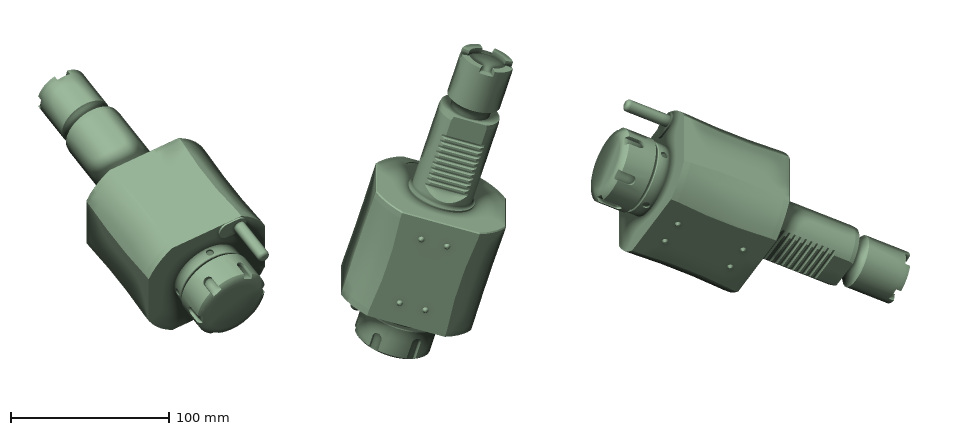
import cadquery as cq
import math


drive_radius = 17.5
drive_length = 30.0
drive_recess_radius = 12.5
drive_slot_depth = 3.5
drive_recess_depth = 3.9
drive_slot_half_angle = 15.5
drive_slot_count = 4
neck_radius = 13.0
neck_middle_x = 33.0
neck_middle_radius = 14.1

shank_radius = 20.0
shank_start = 38.0
shank_lead_length = 3.0
shank_lead_depth = 0.5
shank_collar_radius = 22.0
shank_collar_length = 1.2

rack_flat_z = -16.3
rack_tooth_depth = 2.0
rack_pitch = 4.0
rack_notch_count = 10
rack_first_notch = 53.3
rack_notch_root_width = 1.4
rack_notch_mouth_width = 2.6
rack_ramp_end = 95.9

body_start = 100.6
body_length = 76.4
body_width = 86.0
body_height = 80.0
body_corner_radius = 47.5
body_waist_radius = 46.5
body_land_length = 4.5
body_chamfer = 0.7

plug_radius = 7.5
plug_depth = 0.6
plug_y = 16.0
plug_z = 28.0

screw_base_radius = 2.0
screw_tip_radius = 0.75
screw_height = 1.6
screw_rear_offset = 15.0
screw_spacing_x = 47.0
screw_spacing_y = 17.0

overall_length = 209.6
collar_radius = 24.0
collar_length = 8.2
collar_chamfer = 0.4
collar_hole_radius = 2.5
collar_hole_depth = 1.5
collar_hole_count = 4
collar_hole_x = 180.9
nut_gap = 1.7
nut_gap_radius = 20.7
nut_radius = 25.0
nut_chamfer = 0.5
nut_nose_length = 3.0
nut_face_radius = 18.3
nut_bulge_setback = 1.2
nut_bulge_radius = 22.7
nut_slot_width = 6.7
nut_slot_floor_radius = 22.2
nut_slot_length = 13.8
nut_long_slot_length = 17.5
nut_long_slot_angle = 240.0
nut_slot_count = 6

pin_radius = 4.0
pin_end = 209.0
pin_tip_round = 2.4
pin_y = 23.5
pin_z = 32.4
pin_base_length = 20.0
pin_base_height = 12.6
pin_base_thickness = 1.2
pin_base_y = 18.7
pin_base_z = 33.5

body_end = body_start + body_length
overlap = 1.0


def cylinder_x(start, length, radius, y=0.0, z=0.0):
    """Cylinder running along +X."""
    return cq.Workplane("YZ", origin=(start, y, z)).circle(radius).extrude(length)


def revolve_about_x(profile):
    """Revolve a closed XY profile about the spindle axis."""
    return profile.close().revolve(360, (0, 0, 0), (1, 0, 0))


def make_drive_end():
    """Cylindrical drive end and the hollow-curved neck that joins it to the shank."""
    profile = (
        cq.Workplane("XY")
        .moveTo(0, 0)
        .lineTo(0, drive_radius)
        .lineTo(drive_length, drive_radius)
        .threePointArc((neck_middle_x, neck_middle_radius), (shank_start, neck_radius))
        .lineTo(shank_start + overlap, neck_radius)
        .lineTo(shank_start + overlap, 0)
    )
    drive = revolve_about_x(profile)
    drive = drive.cut(cylinder_x(0, drive_recess_depth, drive_recess_radius))

    wedge_reach = 2 * drive_radius
    wedge_half_width = wedge_reach * math.tan(math.radians(drive_slot_half_angle))
    wedge = (
        cq.Workplane("YZ")
        .polyline([(0, 0), (wedge_reach, -wedge_half_width), (wedge_reach, wedge_half_width)])
        .close()
        .extrude(drive_slot_depth)
    )
    for i in range(drive_slot_count):
        drive = drive.cut(wedge.rotate((0, 0, 0), (1, 0, 0), i * 360 / drive_slot_count))
    return drive


def make_shank():
    """Shank with a slender lead-in cone and a filleted collar at the housing."""
    lead_radius = shank_radius - shank_lead_depth
    collar_start = body_start - shank_collar_length
    fillet_radius = shank_collar_radius - shank_radius
    fillet_middle = (
        collar_start - fillet_radius * (1 - math.sin(math.pi / 4)),
        shank_collar_radius - fillet_radius * math.sin(math.pi / 4),
    )
    profile = (
        cq.Workplane("XY")
        .moveTo(shank_start, 0)
        .lineTo(shank_start, lead_radius)
        .lineTo(shank_start + shank_lead_length, shank_radius)
        .lineTo(collar_start - fillet_radius, shank_radius)
        .threePointArc(fillet_middle, (collar_start, shank_collar_radius))
        .lineTo(body_start + overlap, shank_collar_radius)
        .lineTo(body_start + overlap, 0)
    )
    return revolve_about_x(profile)


def make_rack_cut():
    """Material removed below the shank: the flat, its end ramp and the tooth notches."""
    root_z = rack_flat_z + rack_tooth_depth
    last_notch = rack_first_notch + (rack_notch_count - 1) * rack_pitch
    bottom_z = -shank_radius
    cut_width = 2 * shank_radius
    flat = (
        cq.Workplane("XZ")
        .polyline([
            (shank_start, bottom_z),
            (shank_start, rack_flat_z),
            (last_notch, rack_flat_z),
            (last_notch, root_z),
            (last_notch + rack_notch_root_width / 2, root_z),
            (rack_ramp_end, bottom_z),
        ])
        .close()
        .extrude(cut_width / 2, both=True)
    )
    for i in range(rack_notch_count):
        x = rack_first_notch + i * rack_pitch
        notch = (
            cq.Workplane("XZ")
            .polyline([
                (x - rack_notch_mouth_width / 2, rack_flat_z),
                (x - rack_notch_root_width / 2, root_z),
                (x + rack_notch_root_width / 2, root_z),
                (x + rack_notch_mouth_width / 2, rack_flat_z),
            ])
            .close()
            .extrude(cut_width / 2, both=True)
        )
        flat = flat.union(notch)
    return flat


def make_body():
    """Rectangular housing whose corners are turned to a slightly waisted round."""
    block = (
        cq.Workplane("YZ", origin=(body_start, 0, 0))
        .rect(body_width, body_height)
        .extrude(body_length)
        .faces("<X")
        .chamfer(body_chamfer)
    )
    profile = (
        cq.Workplane("XY")
        .moveTo(body_start, 0)
        .lineTo(body_start, body_corner_radius - body_chamfer)
        .lineTo(body_start + body_chamfer, body_corner_radius)
        .lineTo(body_start + body_land_length, body_corner_radius)
        .threePointArc(
            (body_start + body_length / 2, body_waist_radius),
            (body_end - body_land_length, body_corner_radius),
        )
        .lineTo(body_end, body_corner_radius)
        .lineTo(body_end, 0)
    )
    body = block.intersect(revolve_about_x(profile))
    return body.cut(cylinder_x(body_start, plug_depth, plug_radius, plug_y, plug_z))


def make_screw_tips():
    """Four tapered screw tips that stand out below the housing."""
    profile = (
        cq.Workplane("XZ")
        .moveTo(0, overlap)
        .lineTo(screw_base_radius, overlap)
        .lineTo(screw_base_radius, 0)
        .lineTo(screw_tip_radius, -screw_height)
        .lineTo(0, -screw_height)
        .close()
    )
    tip = profile.revolve(360, (0, 0, 0), (0, 1, 0))
    first_x = body_start + screw_rear_offset
    tips = cq.Workplane("XY")
    for x in (first_x, first_x + screw_spacing_x):
        for y in (-screw_spacing_y / 2, screw_spacing_y / 2):
            tips = tips.add(tip.translate((x, y, -body_height / 2)))
    return tips.combine()


def make_spindle_nose():
    """Collar, relief groove and clamping nut with a rounded front edge."""
    collar_end = body_end + collar_length
    nut_start = collar_end + nut_gap
    profile = (
        cq.Workplane("XY")
        .moveTo(body_end - overlap, 0)
        .lineTo(body_end - overlap, collar_radius)
        .lineTo(collar_end - collar_chamfer, collar_radius)
        .lineTo(collar_end, collar_radius - collar_chamfer)
        .lineTo(collar_end, nut_gap_radius)
        .lineTo(nut_start, nut_gap_radius)
        .lineTo(nut_start, nut_radius - nut_chamfer)
        .lineTo(nut_start + nut_chamfer, nut_radius)
        .lineTo(overall_length - nut_nose_length, nut_radius)
        .threePointArc(
            (overall_length - nut_bulge_setback, nut_bulge_radius),
            (overall_length, nut_face_radius),
        )
        .lineTo(overall_length, 0)
    )
    nose = revolve_about_x(profile)

    for i in range(collar_hole_count):
        hole = (
            cq.Workplane("XY", origin=(collar_hole_x, 0, collar_radius - collar_hole_depth))
            .circle(collar_hole_radius)
            .extrude(collar_hole_depth + overlap)
        )
        nose = nose.cut(hole.rotate((0, 0, 0), (1, 0, 0), i * 360 / collar_hole_count))

    for i in range(nut_slot_count):
        angle = i * 360 / nut_slot_count
        length = nut_long_slot_length if angle == nut_long_slot_angle else nut_slot_length
        nose = nose.cut(make_nut_slot(length).rotate((0, 0, 0), (1, 0, 0), angle))
    return nose


def make_nut_slot(length):
    """Round-ended spanner slot on the +Y side of the nut, open at the front face."""
    slot_start = overall_length - length
    end_center = slot_start + nut_slot_width / 2
    half_width = nut_slot_width / 2
    front = overall_length + overlap
    return (
        cq.Workplane("XZ", origin=(0, nut_slot_floor_radius, 0))
        .moveTo(front, -half_width)
        .lineTo(end_center, -half_width)
        .threePointArc((slot_start, 0), (end_center, half_width))
        .lineTo(front, half_width)
        .close()
        .extrude(-(nut_radius - nut_slot_floor_radius + overlap))
    )


def make_pin():
    """Round-tipped pin on its low oblong base."""
    pin = cylinder_x(body_end - overlap, pin_end - body_end + overlap, pin_radius, pin_y, pin_z)
    pin = pin.faces(">X").edges().fillet(pin_tip_round)
    base = (
        cq.Workplane("YZ", origin=(body_end - overlap, pin_base_y, pin_base_z))
        .slot2D(pin_base_length, pin_base_height)
        .extrude(pin_base_thickness + overlap)
    )
    return pin.union(base)


shank = make_shank().cut(make_rack_cut())
result = (
    make_body()
    .union(shank)
    .union(make_drive_end())
    .union(make_spindle_nose())
    .union(make_pin())
    .union(make_screw_tips())
)